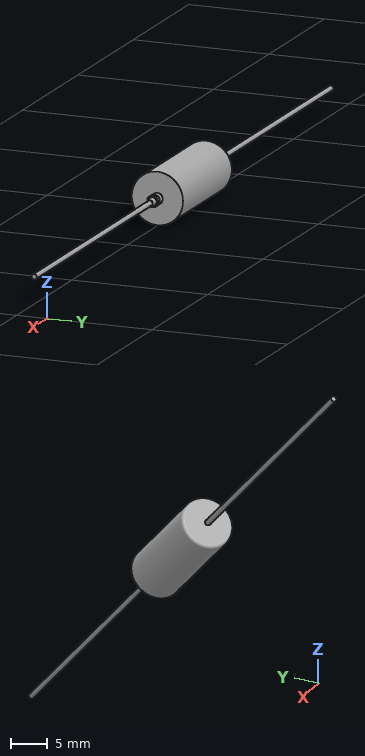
import cadquery as cq

total_length = 107.11
body_diameter = 7.59
body_length = 18.0
negative_lead_length = 44.65
lead_diameter = 0.8
rim_fillet = 0.4

seal_base_diameter = 1.6
seal_tip_diameter = 1.0
ring_diameter = 1.65
ring_length = 0.65
ring_offset = 1.05
bead_diameter = 1.2
bead_end_diameter = 0.85
bead_end_offset = 2.65
bead_bulge = 0.05


def round_bar(start, length, diameter):
    """Cylinder along +X beginning at the given station."""
    return cq.Workplane("YZ", origin=(start, 0, 0)).circle(diameter / 2).extrude(length)


def body():
    """Sleeved can with a rounded rim on the negative end."""
    return round_bar(0, body_length, body_diameter).faces("<X").edges().fillet(rim_fillet)


def positive_terminal():
    """Seal cone, ring and weld bead, revolved about the X axis."""
    ring_start = body_length + ring_offset
    ring_end = ring_start + ring_length
    bead_end = body_length + bead_end_offset
    bead_middle = (ring_end + bead_end) / 2
    bead_middle_radius = (bead_diameter + bead_end_diameter) / 4 + bead_bulge
    profile = (
        cq.Workplane("XY")
        .moveTo(body_length, 0)
        .lineTo(body_length, seal_base_diameter / 2)
        .lineTo(ring_start, seal_tip_diameter / 2)
        .lineTo(ring_start, ring_diameter / 2)
        .lineTo(ring_end, ring_diameter / 2)
        .lineTo(ring_end, bead_diameter / 2)
        .threePointArc((bead_middle, bead_middle_radius), (bead_end, bead_end_diameter / 2))
        .lineTo(bead_end, 0)
        .close()
    )
    return profile.revolve(360, (0, 0, 0), (1, 0, 0))


lead_wire = round_bar(-negative_lead_length, total_length, lead_diameter)
result = body().union(positive_terminal()).union(lead_wire)